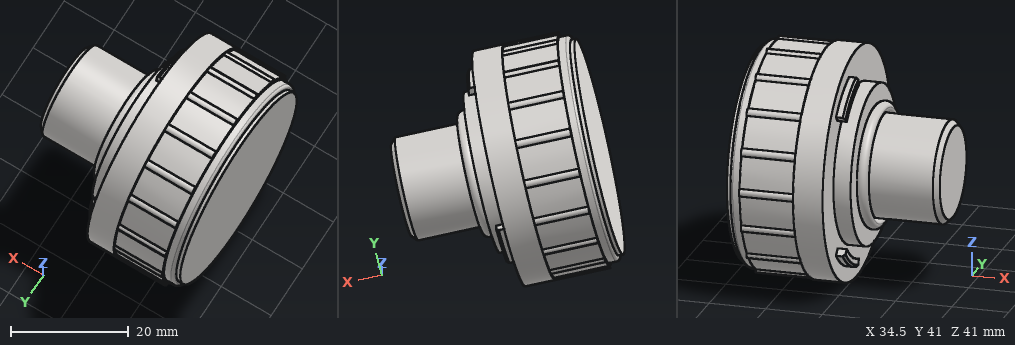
import cadquery as cq

face_end = 0.78
rim_end = 2.65
grip_end = 12.2
flange_end = 17.45
collar_end = 20.5
overall_length = 34.52

face_diameter = 37.55
rim_diameter = 39.35
grip_diameter = 40.2
flange_diameter = 41.0
collar_diameter = 28.0
spigot_diameter = 18.0

rim_fillet = 0.55
spigot_chamfer = 0.95

ring_tube_radius = 1.02
ring_seat_overlap = 0.05

rib_count = 18
rib_radius = 0.78

lug_count = 3
lug_outer_diameter = 35.3
lug_inner_diameter = 32.45
lug_length = 1.6
lug_chamfer = 0.4
lug_angle = 30.0


def disc(diameter, start, end):
    """Cylinder about the X axis between two stations."""
    return cq.Workplane("YZ", origin=(start, 0, 0)).circle(diameter / 2).extrude(end - start)


def turned_body():
    rim = disc(rim_diameter, face_end, rim_end).faces("<X").edges().fillet(rim_fillet)
    spigot = disc(spigot_diameter, collar_end, overall_length).faces(">X").edges().chamfer(spigot_chamfer)
    return (
        disc(face_diameter, 0, face_end)
        .union(rim)
        .union(disc(grip_diameter, rim_end, grip_end))
        .union(disc(flange_diameter, grip_end, flange_end))
        .union(disc(collar_diameter, flange_end, collar_end))
        .union(spigot)
    )


def sealing_ring():
    seat_offset = ring_tube_radius - ring_seat_overlap
    centre_station = collar_end + seat_offset
    centre_radius = spigot_diameter / 2 + seat_offset
    return (
        cq.Workplane("XY")
        .moveTo(centre_station, centre_radius)
        .circle(ring_tube_radius)
        .revolve(360, (0, 0), (1, 0))
    )


def grip_ribs():
    return (
        cq.Workplane("YZ", origin=(rim_end, 0, 0))
        .polarArray(flange_diameter / 2 - rib_radius, 0, 360, rib_count)
        .circle(rib_radius)
        .extrude(grip_end - rim_end)
    )


def lug():
    """Ring sector centred on +Y, chamfered along its outer rear edge."""
    inner_radius = lug_inner_diameter / 2
    outer_radius = lug_outer_diameter / 2
    lug_end = flange_end + lug_length
    return (
        cq.Workplane("XY")
        .moveTo(flange_end, inner_radius)
        .lineTo(lug_end, inner_radius)
        .lineTo(lug_end, outer_radius - lug_chamfer)
        .lineTo(lug_end - lug_chamfer, outer_radius)
        .lineTo(flange_end, outer_radius)
        .close()
        .revolve(lug_angle, (0, 0), (1, 0))
        .rotate((0, 0, 0), (1, 0, 0), -lug_angle / 2)
    )


result = turned_body().union(sealing_ring()).union(grip_ribs())
for index in range(lug_count):
    result = result.union(lug().rotate((0, 0, 0), (1, 0, 0), index * 360 / lug_count))